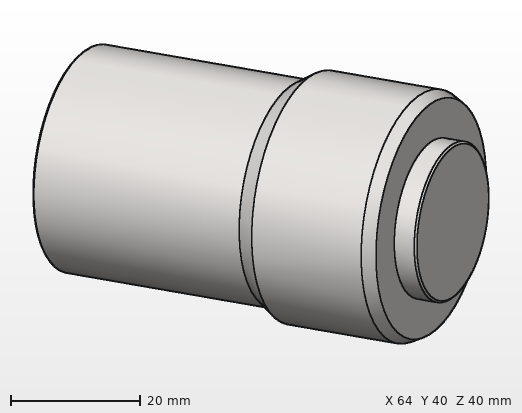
import cadquery as cq

total_length = 64.0
shank_length = 36.0
collar_start = 39.2
collar_end = 60.2

shank_diameter = 36.0
collar_diameter = 40.0
spigot_diameter = 25.35

edge_chamfer = 0.3
collar_bevel_length = 2.05
collar_bevel_depth = 1.0

shank_radius = shank_diameter / 2
collar_radius = collar_diameter / 2
spigot_radius = spigot_diameter / 2

half_section = [
    (0, 0),
    (0, shank_radius - edge_chamfer),
    (edge_chamfer, shank_radius),
    (shank_length, shank_radius),
    (collar_start, collar_radius),
    (collar_end - collar_bevel_length, collar_radius),
    (collar_end, collar_radius - collar_bevel_depth),
    (collar_end, spigot_radius),
    (total_length - edge_chamfer, spigot_radius),
    (total_length, spigot_radius - edge_chamfer),
    (total_length, 0),
]

result = (
    cq.Workplane("XY")
    .polyline(half_section)
    .close()
    .revolve(360, (0, 0, 0), (1, 0, 0))
)